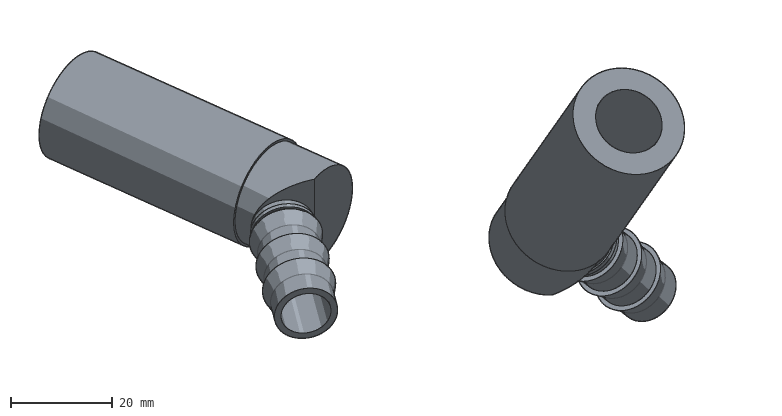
import cadquery as cq
import math

SOCKET_DIAMETER = 23.0
SOCKET_LENGTH = 47.2
NECK_DIAMETER = 22.0
BODY_LENGTH = 60.0
ELBOW_X = 49.0

SOCKET_BORE_DIAMETER = 13.7
SOCKET_BORE_DEPTH = 40.0
FLOW_BORE_DIAMETER = 10.0

BEND_ANGLE = 45.0
SPIGOT_DIAMETER = 12.7
SPIGOT_LENGTH = 28.0
SPIGOT_SEAT = 9.2

COLLAR_DIAMETER = 13.5
COLLAR_START = 1.7
COLLAR_WIDTH = 1.0

BARB_DIAMETER = 14.7
BARB_COUNT = 3
BARB_START = 4.1
BARB_LENGTH = 3.8
BARB_PITCH = 7.8

bend = math.radians(BEND_ANGLE)
spigot_direction = cq.Vector(math.cos(bend), -math.sin(bend), 0)
elbow_point = cq.Vector(ELBOW_X, 0, 0)
body_direction = cq.Vector(1, 0, 0)


def body_cylinder(diameter, length):
    """Cylinder on the body axis, starting at the open socket end."""
    return cq.Workplane(cq.Plane((0, 0, 0), normal=body_direction)).circle(diameter / 2).extrude(length)


def spigot_plane(distance):
    """Plane across the spigot axis, at a distance from the flat seat."""
    origin = elbow_point + spigot_direction * (SPIGOT_SEAT + distance)
    return cq.Plane(origin, xDir=(0, 0, 1), normal=spigot_direction)


def spigot_cylinder(diameter, start, length):
    """Cylinder on the spigot axis, with its start measured from the flat seat."""
    return cq.Workplane(spigot_plane(start)).circle(diameter / 2).extrude(length)


def barb(start):
    """Cone with its sharp shoulder facing the seat, tapering toward the spigot tip."""
    cone = cq.Solid.makeCone(
        BARB_DIAMETER / 2,
        SPIGOT_DIAMETER / 2,
        BARB_LENGTH,
        pnt=spigot_plane(start).origin,
        dir=spigot_direction,
    )
    return cq.Workplane(cone)


def make_body():
    """Socket and neck, with the corner of the neck cut flat across the spigot axis."""
    body = body_cylinder(SOCKET_DIAMETER, SOCKET_LENGTH).union(body_cylinder(NECK_DIAMETER, BODY_LENGTH))
    corner = spigot_cylinder(2 * BODY_LENGTH, 0, BODY_LENGTH)
    return body.cut(corner)


def make_spigot():
    """Hose tail with a collar near the seat and a row of barbs."""
    spigot = spigot_cylinder(SPIGOT_DIAMETER, -SPIGOT_SEAT / 2, SPIGOT_SEAT / 2 + SPIGOT_LENGTH)
    spigot = spigot.union(spigot_cylinder(COLLAR_DIAMETER, COLLAR_START, COLLAR_WIDTH))
    for index in range(BARB_COUNT):
        spigot = spigot.union(barb(BARB_START + index * BARB_PITCH))
    return spigot


def make_passage():
    """Socket bore stepping down to a flow bore that turns at the elbow in a mitre."""
    tip_point = elbow_point + spigot_direction * (SPIGOT_SEAT + SPIGOT_LENGTH)
    path = cq.Workplane("XY").polyline([(0, 0), (ELBOW_X, 0), (tip_point.x, tip_point.y)])
    flow = cq.Workplane("YZ").circle(FLOW_BORE_DIAMETER / 2).sweep(path, transition="right")
    return flow.union(body_cylinder(SOCKET_BORE_DIAMETER, SOCKET_BORE_DEPTH))


result = make_body().union(make_spigot()).cut(make_passage())